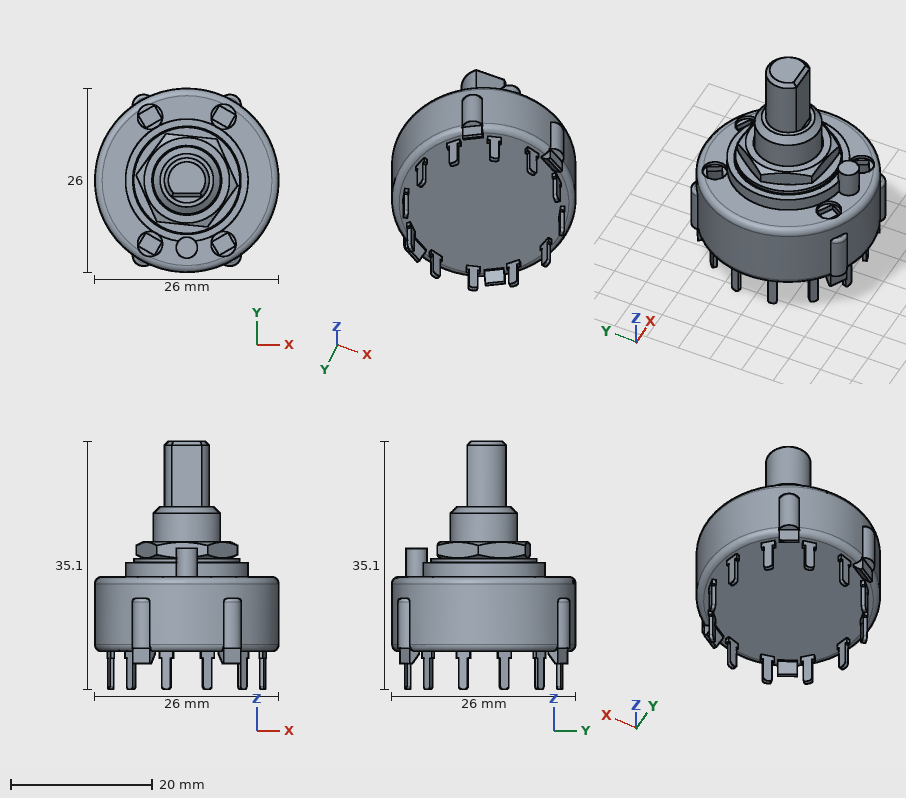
import cadquery as cq
import math

OVERALL_HEIGHT = 35.1

HOUSING_DIA = 26.0
HOUSING_HEIGHT = 10.55
CAVITY_DIA = 24.0
WALL = (HOUSING_DIA - CAVITY_DIA) / 2
HOUSING_FILLET = WALL
FLOOR_THICKNESS = WALL
ROOF_THICKNESS = 1.4
CAVITY_TOP = HOUSING_HEIGHT - ROOF_THICKNESS

DISC_DIA = 17.35
DISC_TOP = 12.55
GROOVE_DIA = 15.3
GROOVE_DEPTH = 0.35

BUSHING_DIA = 9.5
BUSHING_TOP = 20.5
BUSHING_CHAMFER = 1.0
SHAFT_DIA = 6.35
SHAFT_TOP = 29.73
SHAFT_CHAMFER = 0.55
FLAT_DISTANCE = 2.35
FLAT_DEPTH_IN_BUSHING = BUSHING_CHAMFER

POST_DIA = 3.0
POST_RADIUS = 9.5
POST_TOP = 14.55

CORNER_ANGLES = (60, 120, 240, 300)
POCKET_DIA = 3.55
POCKET_RADIUS = 10.4
POCKET_DEPTH = 0.53
OPENING_RADIAL = 2.18
OPENING_TANGENTIAL = 2.67
RIB_DIA = 3.2
RIB_RADIUS = 12.18
RIB_BOTTOM = 0.5
RIB_TOP = 7.5
RIB_FILLET = 0.5
FOOT_WIDTH = 2.77
FOOT_OUTER = 12.88
FOOT_TOE = 0.42
FOOT_INNER = 11.3
FOOT_DEPTH = 1.72
FOOT_RAMP_TOP = -0.3

PIN_COUNT = 12
PIN_FIRST_ANGLE = 15
PIN_RADIUS = 11.13
PIN_THICKNESS = 0.55
PIN_WIDTH = 1.25
PIN_LENGTH = OVERALL_HEIGHT - SHAFT_TOP
PIN_TIP_FILLET = 0.5
SHOULDER_WIDTH = 1.93
SHOULDER_LENGTH = 0.95

NUT_ACROSS_FLATS = 12.5
NUT_CORNER_ANGLE = -6
NUT_TOP = 15.55
NUT_FACE_DIA = 12.07
NUT_CORNER_DROP = 0.55
NUT_BORE = 9.85
WASHER_DIA = 15.0
WASHER_TOP = 13.13
WASHER_THICKNESS = 0.5
WASHER_BOTTOM = WASHER_TOP - WASHER_THICKNESS


def cylinder(diameter, bottom, top):
    return cq.Workplane("XY", origin=(0, 0, bottom)).circle(diameter / 2).extrude(top - bottom)


def turned(shape, angle):
    return shape.rotate((0, 0, 0), (0, 0, 1), angle)


def make_cavity():
    return cylinder(CAVITY_DIA, FLOOR_THICKNESS, CAVITY_TOP)


def make_can():
    can = cylinder(HOUSING_DIA, 0, HOUSING_HEIGHT).edges().fillet(HOUSING_FILLET)
    disc = cylinder(DISC_DIA, HOUSING_HEIGHT, DISC_TOP)
    groove_bottom = DISC_TOP - GROOVE_DEPTH
    groove = cylinder(GROOVE_DIA, groove_bottom, DISC_TOP)
    washer_seat = cylinder(WASHER_DIA, groove_bottom, WASHER_BOTTOM)
    return can.union(disc).cut(groove).union(washer_seat)


def make_bushing():
    bushing = cylinder(BUSHING_DIA, WASHER_BOTTOM, BUSHING_TOP)
    return bushing.faces(">Z").chamfer(BUSHING_CHAMFER)


def make_shaft_bore():
    return cylinder(SHAFT_DIA, BUSHING_TOP - FLAT_DEPTH_IN_BUSHING, BUSHING_TOP)


def make_shaft():
    bottom = BUSHING_TOP - FLAT_DEPTH_IN_BUSHING
    height = SHAFT_TOP - bottom
    beyond_flat = cq.Workplane("XY").box(SHAFT_DIA, SHAFT_DIA, height, centered=(True, False, False))
    beyond_flat = beyond_flat.translate((0, -FLAT_DISTANCE - SHAFT_DIA, bottom))
    shaft = cylinder(SHAFT_DIA, bottom, SHAFT_TOP).cut(beyond_flat)
    return shaft.faces(">Z").chamfer(SHAFT_CHAMFER)


def make_post():
    return cylinder(POST_DIA, HOUSING_HEIGHT, POST_TOP).translate((0, -POST_RADIUS, 0))


def make_pocket():
    """Round pocket with a rectangular opening through its floor to the cavity, on the +X axis."""
    floor = HOUSING_HEIGHT - POCKET_DEPTH
    pocket = cylinder(POCKET_DIA, floor, HOUSING_HEIGHT)
    opening = cq.Workplane("XY", origin=(0, 0, floor)).rect(OPENING_RADIAL, OPENING_TANGENTIAL)
    opening = opening.extrude(CAVITY_TOP - floor)
    return pocket.union(opening).translate((POCKET_RADIUS, 0, 0))


def make_rib():
    rib = cylinder(RIB_DIA, RIB_BOTTOM, RIB_TOP).faces(">Z").edges().fillet(RIB_FILLET)
    return rib.translate((RIB_RADIUS, 0, 0))


def make_foot():
    """Foot under a rib on the +X axis, with a ramp on its inner side."""
    profile = [
        (FOOT_OUTER, RIB_BOTTOM),
        (FOOT_OUTER, -FOOT_DEPTH),
        (FOOT_OUTER - FOOT_TOE, -FOOT_DEPTH),
        (FOOT_INNER, FOOT_RAMP_TOP),
        (FOOT_INNER, RIB_BOTTOM),
    ]
    return cq.Workplane("XZ").polyline(profile).close().extrude(FOOT_WIDTH / 2, both=True)


def make_pin():
    """Flat terminal on the +X axis, hanging from the housing underside, with a rounded tip."""
    blade = cq.Workplane("XY").rect(PIN_THICKNESS, PIN_WIDTH).extrude(-PIN_LENGTH)
    blade = blade.faces("<Z").edges("|X").fillet(PIN_TIP_FILLET)
    shoulder = cq.Workplane("XY").rect(PIN_THICKNESS, SHOULDER_WIDTH).extrude(-SHOULDER_LENGTH)
    return blade.union(shoulder).translate((PIN_RADIUS, 0, 0))


def make_switch():
    switch = make_can().union(make_post())
    switch = switch.union(make_bushing()).cut(make_shaft_bore()).union(make_shaft())
    for angle in CORNER_ANGLES:
        switch = switch.union(turned(make_rib(), angle)).union(turned(make_foot(), angle))
        switch = switch.cut(turned(make_pocket(), angle))
    switch = switch.cut(make_cavity())
    for index in range(PIN_COUNT):
        angle = PIN_FIRST_ANGLE + index * 360 / PIN_COUNT
        switch = switch.union(turned(make_pin(), angle))
    return switch


def make_nut():
    """Hexagonal nut, bevelled on both faces, in one piece with its washer."""
    height = NUT_TOP - WASHER_TOP
    across_corners = NUT_ACROSS_FLATS / math.cos(math.pi / 6)
    hexagon = cq.Workplane("XY", origin=(0, 0, WASHER_TOP)).polygon(6, across_corners).extrude(height)
    bevel_width = (across_corners - NUT_FACE_DIA) / 2
    bevel = cylinder(across_corners, WASHER_TOP, NUT_TOP)
    bevel = bevel.faces("<Z or >Z").chamfer(NUT_CORNER_DROP, bevel_width)
    hexagon = turned(hexagon.intersect(bevel), NUT_CORNER_ANGLE)

    washer = cylinder(WASHER_DIA, WASHER_BOTTOM, WASHER_TOP)
    return hexagon.union(washer).cut(cylinder(NUT_BORE, WASHER_BOTTOM, NUT_TOP))


switch = make_switch()
nut = make_nut()

result = cq.Compound.makeCompound([switch.val(), nut.val()])